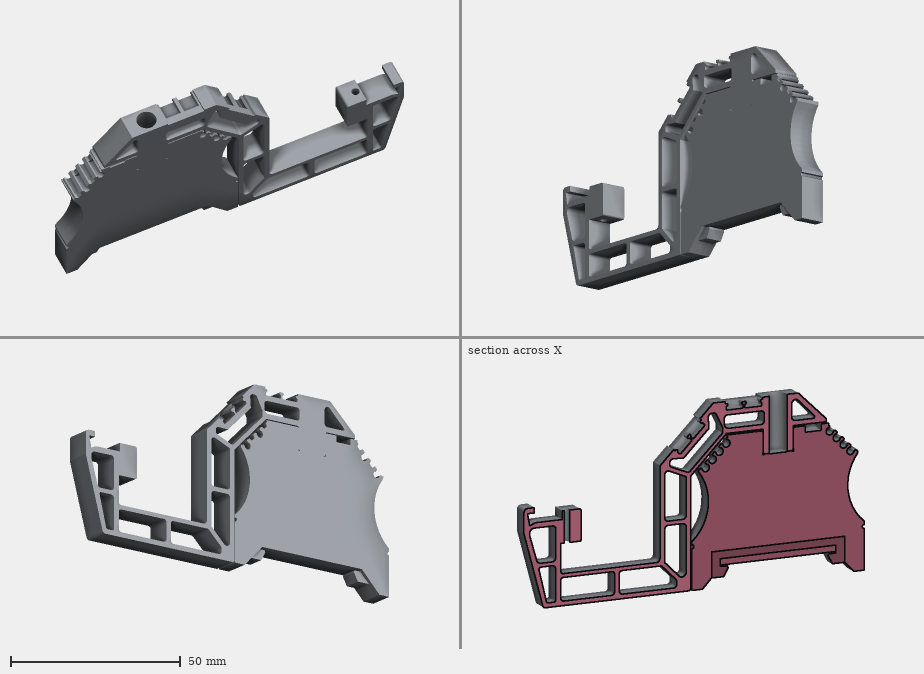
import cadquery as cq
import math

WIDTH = 8.0
FRONT = -WIDTH / 2
HEIGHT = 56.5

HOUSING_HALF = 28.0
HOUSING_TOP = 46.3
RAIL_TOP = 6.7
RAIL_HALF = 18.1
LEG_INNER = 24.5
SCALLOP_TOP = (25.8, 36.0)
SCALLOP_DEEPEST = (22.6, 26.5)
SCALLOP_BOTTOM = (27.7, 15.2)
GROOVE_COUNT = 4
GROOVE_STEP = 2.24
GROOVE_FIRST = (23.6, 37.1)
GROOVE_FLOOR = 1.38
GROOVE_MOUTH = 2.04
GROOVE_DEPTH = 1.1
CHANNEL_RADIUS = 1.1
CHANNEL_OFFSET = 0.2
CHANNEL_STOP = 1.8
RECESS_BEVEL = 0.3
WINDOW_NEAR = 8.8
WINDOW_LENGTH = 5.1
WINDOW_FLOOR = 44.3
WINDOW_STEPS = 4
WINDOW_RISE = 0.3
WINDOW_TREAD = 0.5

SIDE_GAP = 0.2
TOP_GAP = 0.3
BRACKET_INNER = HOUSING_HALF + SIDE_GAP
BRACKET_UNDER = HOUSING_TOP + TOP_GAP
ARM_END = 82.2
POST = 38.2
TONGUE_HALF = 5.0
TONGUE_BOTTOM = 39.0
TONGUE_RADIUS = 0.9
SCREW_HOLE_RADIUS = 3.0
BLOCK_HOLE_RADIUS = 1.2
BLOCK_HOLE_Y = 68.2
BLOCK_TOP = 29.1
BLOCK_BOTTOM = 19.1

RECESS_LENGTH = 11.9
RECESS_DEPTH = 0.7
MARKER_SPACING = 6.0
MARKER_MOUTH = 4.9
MARKER_NECK = 4.3
MARKER_FLOOR = 5.4
MARKER_DEPTH = 2.0
MARKER_NECK_DEPTH = 0.5
MARKER_EDGE = 0.2
MARKER_REACH = 5.6
TOP_FACET_Y = 11.0
SLOPE_FACET = (29.5, 48.0)

FOOT_WIDTH = 5.5
FOOT_TIP = 16.1
FOOT_OUTER = 21.4
FOOT_BOTTOM = 3.1
FOOT_LUG_TOP = 6.4
FOOT_BAR_BOTTOM = 8.8
FOOT_BAR_TOP = 11.0
FOOT_NECK = 18.7


def slab(outline, thickness=WIDTH, start=FRONT):
    """Closed YZ outline given thickness along X, beginning at X = start."""
    return outline.extrude(thickness).translate((start, 0, 0))


def rounded_slab(corners):
    """Full-width slab from corners (y, z) or (y, z, radius); a radius rounds the corner."""
    outline = cq.Workplane("YZ")
    started = False
    for i, corner in enumerate(corners):
        y, z = corner[:2]
        if len(corner) == 2:
            stops = [(y, z)]
        else:
            stops = corner_arc((y, z), corners[i - 1], corners[(i + 1) % len(corners)], corner[2])
        outline = outline.lineTo(*stops[0]) if started else outline.moveTo(*stops[0])
        started = True
        if len(stops) == 3:
            outline = outline.threePointArc(stops[1], stops[2])
    return slab(outline.close())


def corner_arc(corner, before, after, radius):
    """Start, middle and end of the arc that rounds a corner."""
    a = cq.Vector(before[0] - corner[0], before[1] - corner[1]).normalized()
    b = cq.Vector(after[0] - corner[0], after[1] - corner[1]).normalized()
    half_angle = a.getAngle(b) / 2
    tangent = radius / math.tan(half_angle)
    to_middle = radius / math.sin(half_angle) - radius
    apex = cq.Vector(*corner)
    points = [apex + a * tangent, apex + (a + b).normalized() * to_middle, apex + b * tangent]
    return [(p.x, p.y) for p in points]


def groove_centers():
    y, z = GROOVE_FIRST
    return [(y - i * GROOVE_STEP, z + i * GROOVE_STEP) for i in range(GROOVE_COUNT)]


def flank_points():
    """Toothed 45 degree flank from the lower tip up to the housing top."""
    cos45 = math.sqrt(0.5)
    points = [(25.9, 37.0), (25.5, 36.7)]
    for y, z in groove_centers():
        for along, out in [
            (-GROOVE_MOUTH / 2, GROOVE_DEPTH),
            (-GROOVE_FLOOR / 2, 0),
            (GROOVE_FLOOR / 2, 0),
            (GROOVE_MOUTH / 2, GROOVE_DEPTH),
        ]:
            points.append((y + (out - along) * cos45, z + (out + along) * cos45))
    return points + [(16.4, 45.5), (16.5, HOUSING_TOP)]


def half_housing():
    outline = (
        cq.Workplane("YZ")
        .moveTo(0, RAIL_TOP)
        .lineTo(RAIL_HALF, RAIL_TOP)
        .lineTo(LEG_INNER, 0)
        .lineTo(HOUSING_HALF, 0)
        .lineTo(HOUSING_HALF, 12.7)
        .lineTo(27.3, 13.1)
        .lineTo(27.3, 13.8)
        .lineTo(HOUSING_HALF, 14.0)
        .lineTo(HOUSING_HALF, 14.9)
        .lineTo(*SCALLOP_BOTTOM)
        .threePointArc(SCALLOP_DEEPEST, SCALLOP_TOP)
    )
    for point in flank_points():
        outline = outline.lineTo(*point)
    outline = (
        outline.lineTo(TONGUE_HALF + RECESS_BEVEL, HOUSING_TOP)
        .lineTo(TONGUE_HALF, HOUSING_TOP - RECESS_BEVEL)
        .lineTo(TONGUE_HALF, TONGUE_BOTTOM)
        .lineTo(0, TONGUE_BOTTOM)
        .close()
    )
    body = slab(outline)
    return body.cut(groove_channels())


def groove_channels():
    """Channels along the groove floors, stopping short of the +X and -X faces in turn."""
    inward = CHANNEL_OFFSET * math.sqrt(0.5)
    channels = cq.Workplane("YZ")
    for i, (y, z) in enumerate(groove_centers()):
        start = FRONT if i % 2 == 0 else FRONT + CHANNEL_STOP
        circle = cq.Workplane("YZ").center(y - inward, z - inward).circle(CHANNEL_RADIUS)
        channels = channels.add(slab(circle, WIDTH - CHANNEL_STOP, start))
    return channels.combine()


def window():
    """Stepped cut across the top of the housing, deepest at the -X face."""
    profile = cq.Workplane("XZ").moveTo(FRONT, HOUSING_TOP).lineTo(FRONT, WINDOW_FLOOR)
    x = -FRONT - WINDOW_STEPS * WINDOW_TREAD
    profile = profile.lineTo(x, WINDOW_FLOOR)
    for i in range(WINDOW_STEPS):
        z = WINDOW_FLOOR + (i + 1) * WINDOW_RISE
        profile = profile.lineTo(x + i * WINDOW_TREAD, z).lineTo(x + (i + 1) * WINDOW_TREAD, z)
    profile = profile.lineTo(-FRONT, HOUSING_TOP).close()
    return profile.extrude(WINDOW_LENGTH).translate((0, -WINDOW_NEAR, 0))


def make_housing():
    half = half_housing()
    body = half.union(half.mirror("XZ"))
    body = body.cut(window())
    return body.cut(make_foot())


def make_foot():
    half = [
        (FOOT_NECK, FOOT_BAR_BOTTOM),
        (FOOT_NECK, FOOT_LUG_TOP),
        (FOOT_TIP + 0.2, FOOT_LUG_TOP),
        (FOOT_TIP, 5.7),
        (FOOT_TIP + 1.4, FOOT_BOTTOM),
        (FOOT_OUTER, FOOT_BOTTOM),
        (FOOT_OUTER, FOOT_BAR_TOP),
    ]
    points = half + [(-y, z) for y, z in reversed(half)]
    return slab(cq.Workplane("YZ").polyline(points).close(), FOOT_WIDTH, -FOOT_WIDTH / 2)


def marker_recess():
    """Shallow step with two dovetail pockets, cut down from Z = 0 around the origin."""
    step = cq.Workplane("XY").box(WIDTH, RECESS_LENGTH, 2 * RECESS_DEPTH)
    top = -RECESS_DEPTH
    bottom = top - MARKER_DEPTH
    for middle in (-MARKER_SPACING / 2, MARKER_SPACING / 2):
        half = [
            (MARKER_MOUTH / 2, top),
            (MARKER_NECK / 2, top - MARKER_NECK_DEPTH),
            (MARKER_FLOOR / 2, top - 2 * MARKER_NECK_DEPTH),
            (MARKER_FLOOR / 2, bottom + MARKER_EDGE),
            (MARKER_FLOOR / 2 - MARKER_EDGE, bottom),
        ]
        points = [(middle + y, z) for y, z in half] + [(middle - y, z) for y, z in reversed(half)]
        pocket = cq.Workplane("YZ").polyline(points).close()
        step = step.union(slab(pocket, MARKER_REACH))
    return step


def bracket_blank():
    return rounded_slab([
        (ARM_END, 31.1, 1.3),
        (ARM_END, 23.4),
        (76.0, 0, 1.1),
        (BRACKET_INNER, 0, 0.8),
        (BRACKET_INNER, 34.9, 0.3),
        (16.6, BRACKET_UNDER),
        (TONGUE_HALF, BRACKET_UNDER),
        (TONGUE_HALF, TONGUE_BOTTOM, TONGUE_RADIUS),
        (-TONGUE_HALF, TONGUE_BOTTOM, TONGUE_RADIUS),
        (-TONGUE_HALF, BRACKET_UNDER),
        (-15.7, BRACKET_UNDER),
        (-15.7, 47.6, 0.3),
        (-6.5, HEIGHT),
        (20.9, HEIGHT),
        (POST, 39.2, 0.7),
        (POST, 9.9, 1.2),
        (70.2, 9.9, 0.9),
        (70.2, BLOCK_BOTTOM),
        (63.6, BLOCK_BOTTOM, 0.5),
        (63.6, BLOCK_TOP, 0.8),
        (69.9, BLOCK_TOP),
        (69.9, 26.5),
        (78.5, 26.5, 2.8),
        (80.2, 25.7),
        (80.9, 29.3),
        (78.8, 29.3),
        (78.8, 31.1),
    ])


def bracket_openings():
    """Weight-saving openings between the ribs, each through the full width."""
    return [
        [(80.2, 24.7, 1.3), (72.0, 24.7, 0.9), (72.0, 13.9, 1.1), (77.7, 13.9, 1.3), (80.2, 22.7, 1.0)],
        [(77.4, 12.6, 0.5), (72.0, 12.6, 1.1), (72.0, 1.5, 0.5), (74.7, 1.5, 0.5)],
        [(70.2, 8.6, 0.8), (52.9, 8.6, 0.8), (52.9, 1.5, 1.0), (70.2, 1.5, 1.0)],
        [(51.3, 8.6, 0.8), (37.7, 8.6, 0.8), (32.8, 3.7, 0.9), (32.8, 1.5, 1.0), (51.3, 1.5, 1.0)],
        [(36.6, 20.7, 1.1), (29.8, 20.7, 1.1), (29.8, 2.8, 1.3), (36.6, 9.6)],
        [(36.6, 37.8, 1.0), (29.8, 34.9, 0.7), (29.8, 22.2, 1.1), (36.6, 22.2, 1.1)],
        [
            (35.0, 40.9, 1.1), (30.5, 40.7), (22.3, 48.9), (22.6, 53.4, 1.1), (20.3, 53.4, 0.9),
            (18.0, 48.7), (18.0, 47.1), (28.9, 36.2, 1.0), (34.9, 38.7, 0.9),
        ],
        [(17.3, 52.2, 0.9), (4.5, 52.2, 1.0), (4.5, 48.3, 1.0), (17.3, 48.3, 1.4)],
        [(-4.5, 56.1, 1.1), (-12.3, 48.3, 0.4), (-4.5, 48.3, 1.0)],
    ]


def vertical_hole(radius, y, bottom, top):
    return cq.Workplane("XY", origin=(0, y, bottom)).circle(radius).extrude(top - bottom)


def make_bracket():
    body = bracket_blank()
    for corners in bracket_openings():
        body = body.cut(rounded_slab(corners))
    recess = marker_recess()
    body = body.cut(recess.translate((0, TOP_FACET_Y, HEIGHT)))
    sloped = recess.rotate((0, 0, 0), (1, 0, 0), -45)
    body = body.cut(sloped.translate((0, *SLOPE_FACET)))
    body = body.cut(vertical_hole(SCREW_HOLE_RADIUS, 0, TONGUE_BOTTOM, HEIGHT))
    return body.cut(vertical_hole(BLOCK_HOLE_RADIUS, BLOCK_HOLE_Y, BLOCK_BOTTOM, BLOCK_TOP))


bracket = make_bracket().solids()
foot = make_foot()
housing = make_housing().solids()

result = cq.Compound.makeCompound([bracket.val(), housing.val(), foot.val()])